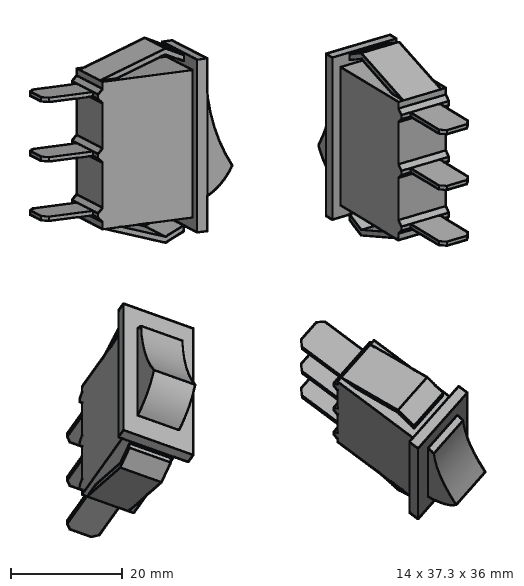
import cadquery as cq


bezel_width = 14.0
bezel_height = 32.0
bezel_thickness = 2.0
body_width = 10.37
body_height = 27.3
body_depth = 18.0

rocker_width = 8.28
rocker_half_height = 11.0
rocker_tip_y = 8.45
rocker_tip_z = -5.3
rocker_edge_y = 3.32
rocker_edge_z = 10.45
press_face_mid = (4.1, 5.07)
lower_face_mid = (5.1, -9.32)

clip_width = rocker_width
clip_peak_z = 36.0 / 2
clip_peak_y = -4.92
clip_tip_y = -1.23
clip_tip_z = 16.3
clip_thickness_z = 1.12

terminal_count = 3
terminal_pitch = 11.0
terminal_width = 6.4
terminal_thickness = 0.82
terminal_chamfer = 1.05
ridge_height = 0.95
ridge_base = terminal_thickness + 2 * ridge_height
total_depth = 37.3
terminal_length = total_depth - rocker_tip_y - body_depth - ridge_height


def extrude_across(profile, width):
    """Extrude a closed YZ profile symmetrically about X = 0."""
    return profile.extrude(width / 2, both=True)


def make_housing():
    bezel = cq.Workplane("XY").box(
        bezel_width, bezel_thickness, bezel_height, centered=(True, False, True)
    )
    body = (
        cq.Workplane("XY")
        .box(body_width, body_depth, body_height, centered=(True, False, True))
        .translate((0, -body_depth, 0))
    )
    return bezel.union(body)


def make_rocker():
    profile = (
        cq.Workplane("YZ")
        .moveTo(bezel_thickness, rocker_half_height)
        .lineTo(rocker_edge_y, rocker_edge_z)
        .threePointArc(press_face_mid, (rocker_tip_y, rocker_tip_z))
        .threePointArc(lower_face_mid, (bezel_thickness, -rocker_half_height))
        .close()
    )
    return extrude_across(profile, rocker_width)


def make_upper_clip():
    """Bent strip rising from the rear edge of the body; its legs have parallel faces."""
    root_z = body_height / 2
    profile = cq.Workplane("YZ").polyline([
        (-body_depth, root_z),
        (clip_peak_y, clip_peak_z),
        (clip_tip_y, clip_tip_z),
        (clip_tip_y, clip_tip_z - clip_thickness_z),
        (clip_peak_y, clip_peak_z - clip_thickness_z),
        (-body_depth, root_z - clip_thickness_z),
    ]).close()
    return extrude_across(profile, clip_width)


def make_terminal(center_z):
    """Tapered ridge across the body with a flat blade terminal on top."""
    ridge_top_y = -body_depth - ridge_height
    ridge_profile = cq.Workplane("YZ").polyline([
        (-body_depth, center_z - ridge_base / 2),
        (-body_depth, center_z + ridge_base / 2),
        (ridge_top_y, center_z + terminal_thickness / 2),
        (ridge_top_y, center_z - terminal_thickness / 2),
    ]).close()
    ridge = extrude_across(ridge_profile, body_width)
    blade = (
        cq.Workplane("XY")
        .box(terminal_width, terminal_length, terminal_thickness)
        .edges("|Z and <Y")
        .chamfer(terminal_chamfer)
        .translate((0, ridge_top_y - terminal_length / 2, center_z))
    )
    return ridge.union(blade)


upper_clip = make_upper_clip()
result = make_housing().union(make_rocker())
result = result.union(upper_clip).union(upper_clip.mirror("XY"))
for index in range(terminal_count):
    terminal_z = (index - (terminal_count - 1) / 2) * terminal_pitch
    result = result.union(make_terminal(terminal_z))